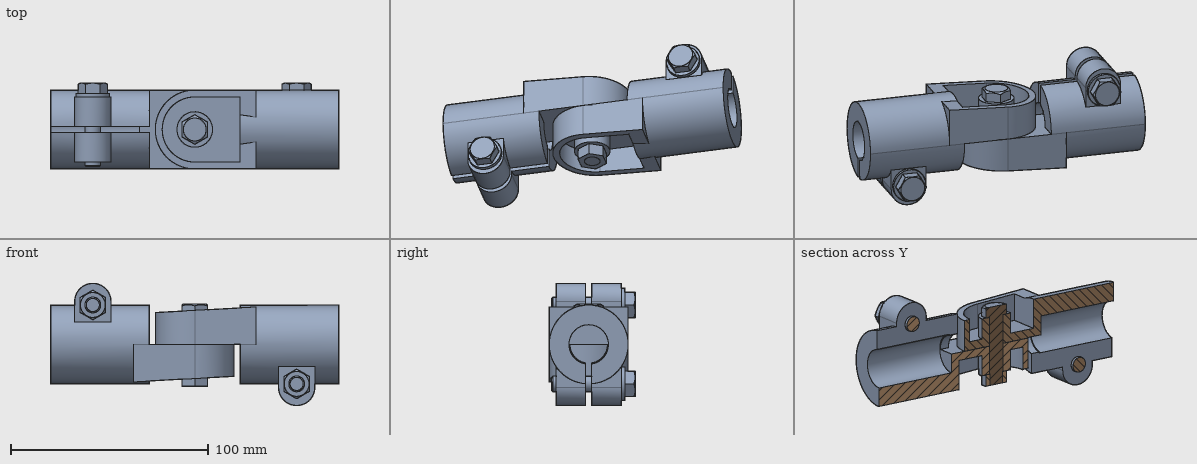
import cadquery as cq
import math


tube_radius = 20
tube_outer_end = 73
tube_inner_end = 23
bore_diameter = 20
bore_depth = 45
relief_diameter = 19
slot_width = 3

lug_width = 18.5
lug_length = 33
lug_top = 31
lug_bottom = 11
lug_end_gap = 12.1
lug_x = -tube_outer_end + lug_end_gap + lug_width / 2
lug_arc_z = lug_top - lug_width / 2

housing_radius = tube_radius
housing_end = 31
rim_height_at_end = 19
rim_height_at_nose = 16.2
wall_thickness = 3.5
floor_thickness = 4.5
boss_diameter = 18
boss_height = 15.2

shank_diameter = 8
hex_width = 13
hex_corner_width = hex_width / math.cos(math.pi / 6)
hex_chamfer_angle = math.radians(30)
head_height = 5.3
pivot_head_chamfer_diameter = 11.6
pivot_nut_height = 6

clamp_screw_z = 20
washer_diameter = 17
washer_thickness = 1.8
clamp_nut_height = 6.5
clamp_hex_chamfer_diameter = 12.6
nut_recess = 0.5
screw_end_overhang = 2.3
screw_tip_diameter = 6.65
screw_tip_chamfer = (shank_diameter - screw_tip_diameter) / 2


def cylinder(diameter, start, end):
    """Cylinder along Z between two heights."""
    return cq.Workplane("XY").workplane(offset=start).circle(diameter / 2).extrude(end - start)


def hexagon(height):
    """Hexagonal prism standing on Z = 0, two corners pointing along Y."""
    return (
        cq.Workplane("XY")
        .polygon(6, hex_corner_width)
        .extrude(height)
        .rotate((0, 0, 0), (0, 0, 1), 90)
    )


def chamfered_hexagon(height, top_diameter):
    """Hexagonal prism whose top corners are turned down to a circle."""
    corner_radius = hex_corner_width / 2
    drop = (corner_radius - top_diameter / 2) * math.tan(hex_chamfer_angle)
    turned_blank = (
        cq.Workplane("XZ")
        .moveTo(0, 0)
        .lineTo(corner_radius, 0)
        .lineTo(corner_radius, height - drop)
        .lineTo(top_diameter / 2, height)
        .lineTo(0, height)
        .close()
        .revolve(360, (0, 0), (0, 1))
    )
    return hexagon(height).intersect(turned_blank)


def to_clamp_axis(shape):
    """Turn a shape built along Z onto the clamp screw axis, +Z becoming +Y."""
    return shape.rotate((0, 0, 0), (1, 0, 0), -90).translate((lug_x, 0, clamp_screw_z))


def tray_outline(radius, end):
    """Flat outline along X: straight back at -end, semicircular nose around the pivot."""
    return (
        cq.Workplane("XY")
        .moveTo(-end, -radius)
        .lineTo(0, -radius)
        .threePointArc((radius, 0), (0, radius))
        .lineTo(-end, radius)
        .close()
    )


def make_tube():
    length = tube_outer_end - tube_inner_end
    return cq.Workplane("YZ").workplane(offset=-tube_outer_end).circle(tube_radius).extrude(length)


def make_lug():
    half_width = lug_width / 2
    return (
        cq.Workplane("XZ")
        .moveTo(lug_x - half_width, lug_bottom)
        .lineTo(lug_x - half_width, lug_arc_z)
        .threePointArc((lug_x, lug_top), (lug_x + half_width, lug_arc_z))
        .lineTo(lug_x + half_width, lug_bottom)
        .close()
        .extrude(lug_length / 2, both=True)
    )


def make_housing():
    """Solid block below Z = 0, cut by the sloping rim plane."""
    side_profile = (
        cq.Workplane("XZ")
        .moveTo(-housing_end, 0)
        .lineTo(housing_radius, 0)
        .lineTo(housing_radius, -rim_height_at_nose)
        .lineTo(-housing_end, -rim_height_at_end)
        .close()
        .extrude(housing_radius, both=True)
    )
    return tray_outline(housing_radius, housing_end).extrude(-rim_height_at_end).intersect(side_profile)


def make_tray_pocket():
    """Hollow of the tray, open at the rim and leaving the floor at Z = 0."""
    pocket = tray_outline(housing_radius - wall_thickness, tube_inner_end).extrude(-tube_radius)
    return pocket.translate((0, 0, -floor_thickness))


def make_bore():
    """Blind bore, with its upper half carried on to the inner end of the tube."""
    bore = cq.Workplane("YZ").workplane(offset=-tube_outer_end).circle(bore_diameter / 2).extrude(bore_depth)
    relief = (
        cq.Workplane("YZ")
        .workplane(offset=-tube_outer_end + bore_depth)
        .moveTo(-relief_diameter / 2, 0)
        .threePointArc((0, relief_diameter / 2), (relief_diameter / 2, 0))
        .close()
        .extrude(tube_outer_end - tube_inner_end - bore_depth)
    )
    return bore.union(relief)


def make_slot():
    length = tube_outer_end - tube_inner_end
    slot = cq.Workplane("XY").box(length, slot_width, lug_top, centered=(False, True, False))
    return slot.translate((-tube_outer_end, 0, 0))


def make_clamp_screw():
    """Screw with washer and nut, its head towards +Y and turned to put two corners along X."""
    face = lug_length / 2
    washer = cylinder(washer_diameter, face, face + washer_thickness)
    head = chamfered_hexagon(head_height, clamp_hex_chamfer_diameter).rotate((0, 0, 0), (0, 0, 1), 90)
    head = head.translate((0, 0, face + washer_thickness))
    shank = cylinder(shank_diameter, -face - screw_end_overhang, face)
    shank = shank.faces("<Z").chamfer(screw_tip_chamfer)
    nut = chamfered_hexagon(clamp_nut_height, clamp_hex_chamfer_diameter)
    nut = nut.rotate((0, 0, 0), (1, 0, 0), 180).translate((0, 0, -face + nut_recess + clamp_nut_height))
    return to_clamp_axis(shank.union(washer).union(head).union(nut))


def make_nut_pocket():
    depth = nut_recess + clamp_nut_height
    return to_clamp_axis(hexagon(depth).translate((0, 0, -lug_length / 2)))


def make_arm():
    """Arm with its tube towards -X and its pivot housing below Z = 0."""
    return (
        make_tube()
        .union(make_lug())
        .union(make_housing())
        .cut(make_tray_pocket())
        .union(cylinder(boss_diameter, -boss_height, 0))
        .cut(cylinder(shank_diameter, -boss_height, 0))
        .cut(make_bore())
        .cut(make_slot())
        .cut(make_nut_pocket())
        .union(make_clamp_screw())
    )


def make_pivot_bolt():
    head = chamfered_hexagon(head_height, pivot_head_chamfer_diameter).translate((0, 0, boss_height))
    return head.union(cylinder(shank_diameter, -boss_height - pivot_nut_height, boss_height))


def make_pivot_nut():
    nut = hexagon(pivot_nut_height).translate((0, 0, -boss_height - pivot_nut_height))
    return nut.cut(cylinder(shank_diameter, -boss_height - pivot_nut_height, -boss_height))


arms = []
for turn in (0, 180):
    arms.append(make_arm().rotate((0, 0, 0), (0, 1, 0), turn))

pivot_bolt = make_pivot_bolt()
pivot_nut = make_pivot_nut()

result = cq.Compound.makeCompound([*[arm.val() for arm in arms], pivot_bolt.val(), pivot_nut.val()])